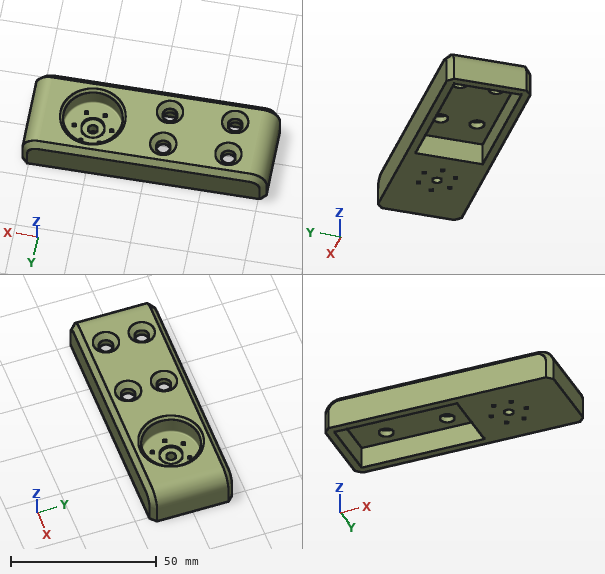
import cadquery as cq

length = 85.0
width = 30.0
height = 12.5
end_radius = 5.8
edge_chamfer = 2.0

screw_x_positions = (-28.05, -5.35)
screw_spacing_y = 13.0
screw_diameter = 5.0
countersink_diameter = 9.0
countersink_angle = 90.0

pocket_x = 20.3
pocket_diameter = 20.5
pocket_depth = 7.5
pocket_rim_chamfer = 1.0
pocket_rim_angle = 45
pocket_floor_fillet = 0.5

recess_diameter = 8.0
recess_depth = 0.85
bore_diameter = 3.2

pin_count = 6
pin_diameter = 1.2
pin_circle_diameter = 13.0

hollow_wall = 3.0
hollow_roof = 4.4
hollow_x = sum(screw_x_positions) / len(screw_x_positions)
hollow_length = length + 2 * hollow_x - 2 * hollow_wall
hollow_width = width - 2 * hollow_wall
hollow_height = height - hollow_roof


def make_body():
    """Bar with rounded upper ends and chamfered front and back outlines."""
    bar = cq.Workplane("XY").box(length, width, height, centered=(True, True, False))
    rounded = bar.edges("|Y and >Z").fillet(end_radius)
    outline = rounded.faces("<Y or >Y").edges("not <Z")
    return outline.chamfer(edge_chamfer)


def cut_screw_holes(body):
    """Countersunk through holes from the top face."""
    points = [
        (x, side * screw_spacing_y / 2)
        for x in screw_x_positions
        for side in (-1, 1)
    ]
    top = body.faces(">Z").workplane(origin=(0, 0, height))
    return top.pushPoints(points).cskHole(screw_diameter, countersink_diameter, countersink_angle)


def make_hollow():
    """Block that empties the underside, leaving a roof for the screw holes."""
    base = cq.Workplane("XY", origin=(hollow_x, 0, 0))
    return base.box(hollow_length, hollow_width, hollow_height, centered=(True, True, False))


def make_pocket():
    """Solid of the pocket: chamfered at its mouth and rounded around its floor."""
    floor_z = height - pocket_depth
    base = cq.Workplane("XY", origin=(pocket_x, 0, floor_z))
    plug = base.circle(pocket_diameter / 2).extrude(pocket_depth)
    plug = plug.faces("<Z").edges().fillet(pocket_floor_fillet)
    mouth = (
        cq.Workplane("XY", origin=(pocket_x, 0, height))
        .circle(pocket_diameter / 2 + pocket_rim_chamfer)
        .extrude(-pocket_rim_chamfer, taper=pocket_rim_angle)
    )
    return plug.union(mouth)


def cut_floor_holes(body):
    """Stepped centre bore and the ring of pin holes, all through the pocket floor."""
    floor = cq.Workplane("XY", origin=(pocket_x, 0, height - pocket_depth))
    recess = floor.circle(recess_diameter / 2).extrude(-recess_depth)
    bore = floor.circle(bore_diameter / 2).extrude(-height)
    pins = (
        floor.polarArray(pin_circle_diameter / 2, 0, 360, pin_count)
        .circle(pin_diameter / 2)
        .extrude(-height)
    )
    return body.cut(recess).cut(bore).cut(pins)


body = cut_screw_holes(make_body())
body = body.cut(make_hollow())
body = body.cut(make_pocket())
result = cut_floor_holes(body)